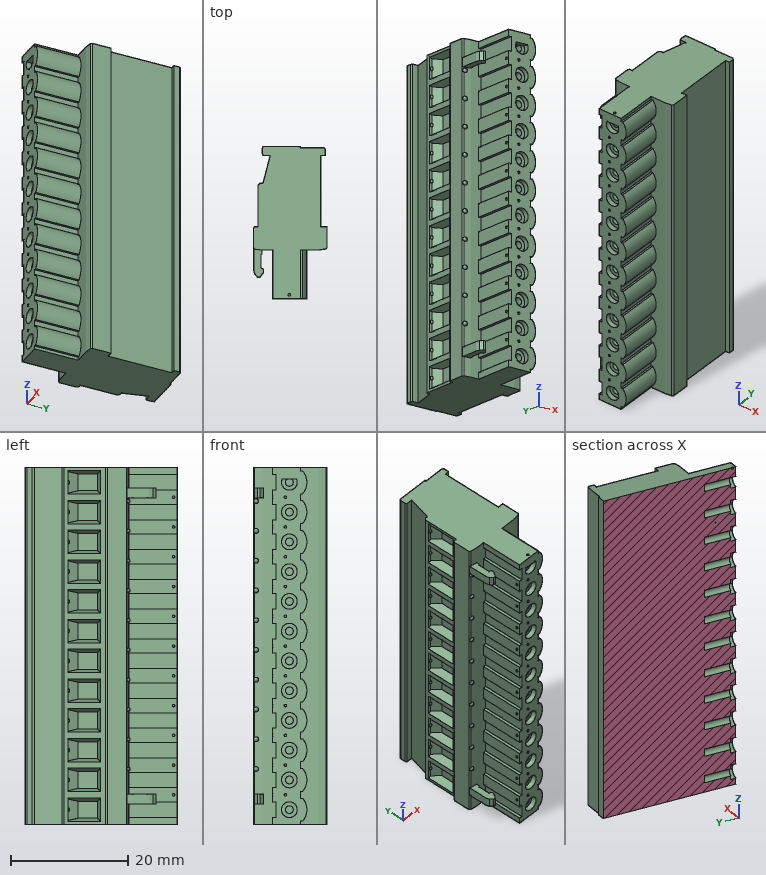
import cadquery as cq

LENGTH = 60.95
DEPTH = 26.0
WIDTH = 12.6
POLES = 12
PITCH = LENGTH / POLES

PLUG_LENGTH = 8.3
PLUG_LEFT = 3.3
PLUG_RIGHT = 8.05
CONTACT_X = 6.15
KEY_DEPTH = 0.55
KEY_HEIGHT = 2.6
LOBE_RADIUS = 3.0
LOBE_HEIGHT = 3.9

SOCKET_RADIUS = 1.35
SOCKET_DEPTH = 1.0
BORE_RADIUS = 0.7
BORE_DEPTH = 6.1
END_SOCKET_FLAT = 0.6

DIMPLE_X = 5.5
DIMPLE_Y = 0.7
DIMPLE_RADIUS = 0.215
DIMPLE_DEPTH = 0.3

COLLAR_TOP = 12.3
COLLAR_EDGE = 0.35
COLLAR_SLOPE_WIDTH = 1.5
COLLAR_SLOPE_RISE = 0.2
COLLAR_CORNER = 0.25
BODY_LEFT = 0.8
BODY_RIGHT = 11.5
SHOULDER_Y = 19.75
SHOULDER_CHAMFER = 0.35
SHOULDER_INNER_X = 1.65
SLOPE_TOP_X = 2.85
FLANGE_LEFT = 1.5
FLANGE_RIGHT = 12.3
FLANGE_BOTTOM = 24.45
FLANGE_BEVEL = 0.1
FLANGE_BEVEL_HEIGHT = 0.35
FLANGE_STEP = 0.25
FLANGE_CORNER = 0.25

FUNNEL_Y = (13.1, 18.65)
FUNNEL_FLOOR_Y = (13.65, 16.95)
FUNNEL_HEIGHT = 4.0
FUNNEL_FLOOR_HEIGHT = 2.85
FUNNEL_STRAIGHT_DEPTH = 0.5
FUNNEL_DEPTH = 1.5
PIP_RADIUS = 0.395
PIP_SINK = 0.2

LATCH_LEFT = 0.05
LATCH_HEIGHT = 1.7
LATCH_TIP = 3.65
LATCH_TIP_X = (0.75, 1.15)
LATCH_BEVEL_X = 0.25
LATCH_BEVEL_Y = 4.2
LATCH_NOSE_Y = 4.8
LATCH_HOOK = 1.75
LATCH_HOOK_FRONT = 4.5
LATCH_HOOK_REAR = 5.05
LATCH_INNER = 1.35
LATCH_ROOT_X = 1.5
LATCH_ROOT_Y = 7.75
LATCH_BLEND = 0.2
LATCH_INSET = 4.3
BUMP_RADIUS = 0.4
BUMP_X = 0.5
BUMP_Y = 8.55
BUMP_OFFSET = 0.7


def pole_z(index):
    return (index + 0.5) * PITCH


def box(x0, x1, y0, y1, z0, z1):
    return cq.Workplane("XY").box(x1 - x0, y1 - y0, z1 - z0, centered=False).translate((x0, y0, z0))


def housing():
    """Collar, body and rear flange as one extruded profile."""
    slope_y = PLUG_LENGTH + COLLAR_SLOPE_RISE
    flange_rear = DEPTH - FLANGE_STEP
    outline = [
        (COLLAR_SLOPE_WIDTH, PLUG_LENGTH),
        (WIDTH - COLLAR_SLOPE_WIDTH, PLUG_LENGTH),
        (WIDTH - COLLAR_CORNER, slope_y),
        (WIDTH, slope_y + COLLAR_CORNER),
        (WIDTH, COLLAR_TOP),
        (BODY_RIGHT, COLLAR_TOP),
        (BODY_RIGHT, FLANGE_BOTTOM),
        (FLANGE_RIGHT, FLANGE_BOTTOM),
        (FLANGE_RIGHT, flange_rear - FLANGE_CORNER),
        (FLANGE_RIGHT - FLANGE_CORNER, flange_rear),
        (PLUG_RIGHT, flange_rear),
        (PLUG_RIGHT, DEPTH),
        (FLANGE_LEFT + FLANGE_BEVEL, DEPTH),
        (FLANGE_LEFT, DEPTH - FLANGE_BEVEL_HEIGHT),
        (FLANGE_LEFT, FLANGE_BOTTOM + FLANGE_BEVEL_HEIGHT),
        (FLANGE_LEFT + FLANGE_BEVEL, FLANGE_BOTTOM),
        (SLOPE_TOP_X, FLANGE_BOTTOM),
        (SHOULDER_INNER_X, SHOULDER_Y),
        (BODY_LEFT + SHOULDER_CHAMFER, SHOULDER_Y),
        (BODY_LEFT, SHOULDER_Y - SHOULDER_CHAMFER),
        (BODY_LEFT, COLLAR_TOP),
        (COLLAR_EDGE / 2, COLLAR_TOP),
        (0, COLLAR_TOP - COLLAR_EDGE),
        (0, slope_y + COLLAR_CORNER),
        (COLLAR_CORNER, slope_y),
    ]
    return cq.Workplane("XY").polyline(outline).close().extrude(LENGTH)


def plug():
    """Nose with a key groove on the left and a rounded lobe on the right of every pole."""
    nose = box(PLUG_LEFT, PLUG_RIGHT, 0, PLUG_LENGTH, 0, LENGTH)
    for index in range(POLES):
        z = pole_z(index)
        lobe = cq.Workplane("XZ", origin=(CONTACT_X, 0, z)).circle(LOBE_RADIUS).extrude(-PLUG_LENGTH)
        lobe = lobe.intersect(
            box(CONTACT_X, WIDTH, 0, PLUG_LENGTH, z - LOBE_HEIGHT / 2, z + LOBE_HEIGHT / 2)
        )
        key = box(PLUG_LEFT, PLUG_LEFT + KEY_DEPTH, 0, PLUG_LENGTH, z - KEY_HEIGHT / 2, z + KEY_HEIGHT / 2)
        nose = nose.union(lobe).cut(key)
    return nose


def socket(index):
    """Stepped contact hole; the one at the upper end has a flat upper edge."""
    z = pole_z(index)
    face = cq.Workplane("XZ", origin=(CONTACT_X, 0, z))
    hole = face.circle(SOCKET_RADIUS).extrude(-SOCKET_DEPTH)
    hole = hole.union(face.circle(BORE_RADIUS).extrude(-BORE_DEPTH))
    if index == POLES - 1:
        hole = hole.cut(box(0, WIDTH, 0, DEPTH, z + END_SOCKET_FLAT, LENGTH))
    return hole


def funnel(z):
    """Wire entry tapering to a flat floor; its rear wall starts straight and carries a round pip."""
    front, rear = FUNNEL_Y
    floor_front, floor_rear = FUNNEL_FLOOR_Y
    straight_x = BODY_LEFT + FUNNEL_STRAIGHT_DEPTH
    floor_x = BODY_LEFT + FUNNEL_DEPTH
    across_y = [
        (BODY_LEFT, front),
        (BODY_LEFT, rear),
        (straight_x, rear),
        (floor_x, floor_rear),
        (floor_x, floor_front),
    ]
    across_z = [
        (BODY_LEFT, z - FUNNEL_HEIGHT / 2),
        (BODY_LEFT, z + FUNNEL_HEIGHT / 2),
        (floor_x, z + FUNNEL_FLOOR_HEIGHT / 2),
        (floor_x, z - FUNNEL_FLOOR_HEIGHT / 2),
    ]
    side_taper = cq.Workplane("XY").polyline(across_y).close().extrude(LENGTH)
    end_taper = cq.Workplane("XZ").polyline(across_z).close().extrude(-DEPTH)
    pip = cq.Workplane("XY").sphere(PIP_RADIUS).translate((straight_x, rear + PIP_SINK, z))
    return side_taper.intersect(end_taper).cut(pip)


def latch(z):
    """Hooked arm reaching forward from the collar."""
    root_y = COLLAR_TOP - COLLAR_EDGE
    outline = [
        (LATCH_LEFT, root_y),
        (LATCH_LEFT, LATCH_NOSE_Y),
        (LATCH_BEVEL_X, LATCH_BEVEL_Y),
        (LATCH_TIP_X[0], LATCH_TIP),
        (LATCH_TIP_X[1], LATCH_TIP),
        (LATCH_HOOK, LATCH_HOOK_FRONT),
        (LATCH_HOOK, LATCH_HOOK_REAR),
        (LATCH_INNER, LATCH_HOOK_REAR + LATCH_BLEND),
        (LATCH_INNER, LATCH_ROOT_Y - LATCH_BLEND),
        (LATCH_ROOT_X, LATCH_ROOT_Y),
        (LATCH_ROOT_X, root_y),
    ]
    arm = cq.Workplane("XY").polyline(outline).close().extrude(LATCH_HEIGHT)
    return arm.translate((0, 0, z - LATCH_HEIGHT / 2))


def bump(boundary):
    z = boundary * PITCH - BUMP_OFFSET
    return cq.Workplane("XY").sphere(BUMP_RADIUS).translate((BUMP_X, BUMP_Y, z))


def dimple(face):
    """Small blind hole sunk at the origin of a workplane, against its normal."""
    return face.circle(DIMPLE_RADIUS).extrude(-DIMPLE_DEPTH)


def end_dimple():
    return dimple(cq.Workplane("XY", origin=(CONTACT_X, DIMPLE_Y, LENGTH)))


def boundary_dimples(boundary):
    """Dimples in the tip face and in the left face of the plug."""
    z = boundary * PITCH
    tip = dimple(cq.Workplane("XZ", origin=(DIMPLE_X, 0, z)))
    left = dimple(cq.Workplane("ZY", origin=(PLUG_LEFT, DIMPLE_Y, z)))
    return tip.union(left)


result = housing().union(plug()).cut(end_dimple())
for pole in range(POLES):
    result = result.cut(socket(pole)).cut(funnel(pole_z(pole)))
for boundary in range(1, POLES):
    result = result.cut(boundary_dimples(boundary))
for latch_z in (LATCH_INSET, LENGTH - LATCH_INSET):
    result = result.union(latch(latch_z))
for boundary in range(2, POLES):
    result = result.union(bump(boundary))